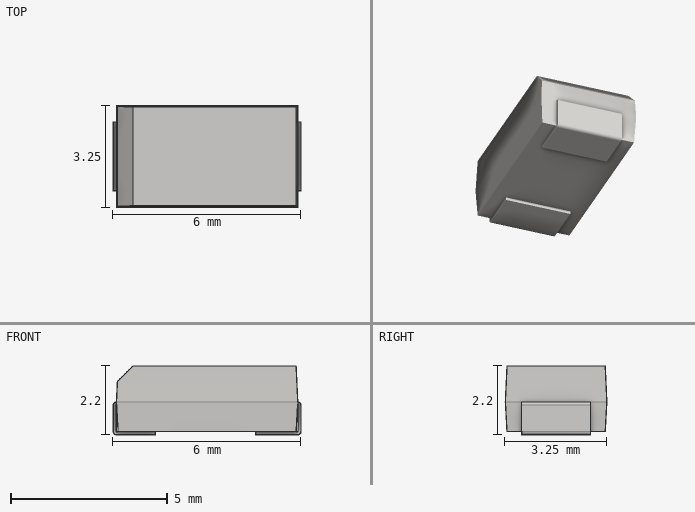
import cadquery as cq
import math

overall_length = 6.0
body_width = 3.25
overall_height = 2.2
lead_thickness = 0.1
body_length = overall_length - 2 * lead_thickness
parting_height = 1.05
draft_inset = 0.0525
bevel_depth = 0.5

lead_width = 2.2
left_foot_length = 1.35
right_foot_length = 1.45


def make_body_half(height):
    """Drafted block growing from the parting plane; a negative height grows downwards."""
    draft_angle = math.degrees(math.atan2(draft_inset, abs(height)))
    return (
        cq.Workplane("XY", origin=(0, 0, parting_height))
        .rect(body_length, body_width)
        .extrude(height, taper=draft_angle)
    )


def make_body():
    """Two drafted halves meeting at the parting plane, with a 45 degree bevel along the -X top edge."""
    upper_height = overall_height - parting_height
    upper = make_body_half(upper_height)
    lower = make_body_half(lead_thickness - parting_height)

    bevel_low_z = overall_height - bevel_depth
    bevel_low_x = -body_length / 2 + draft_inset * (bevel_low_z - parting_height) / upper_height
    bevel_cutter = (
        cq.Workplane("XZ")
        .moveTo(bevel_low_x, bevel_low_z)
        .lineTo(bevel_low_x + bevel_depth, overall_height)
        .lineTo(bevel_low_x, overall_height)
        .close()
        .extrude(body_width, both=True)
    )
    return upper.cut(bevel_cutter).union(lower)


def make_lead(side, foot_length):
    """Bent strip standing against one end (side -1 or +1), its foot folded under the body."""
    outer_x = side * overall_length / 2
    inner_x = side * body_length / 2
    foot_end_x = outer_x - side * foot_length
    arc_offset = lead_thickness * (1 - math.sqrt(0.5))
    arc_mid_x = outer_x - side * arc_offset
    return (
        cq.Workplane("XZ")
        .moveTo(foot_end_x, 0)
        .lineTo(inner_x, 0)
        .threePointArc((arc_mid_x, arc_offset), (outer_x, lead_thickness))
        .lineTo(outer_x, parting_height - lead_thickness)
        .threePointArc((arc_mid_x, parting_height - arc_offset), (inner_x, parting_height))
        .lineTo(inner_x, lead_thickness)
        .lineTo(foot_end_x, lead_thickness)
        .close()
        .extrude(lead_width / 2, both=True)
    )


body = make_body()
leads = [make_lead(side, foot) for side, foot in ((-1, left_foot_length), (1, right_foot_length))]

result = cq.Compound.makeCompound([body.val(), *[lead.val() for lead in leads]])